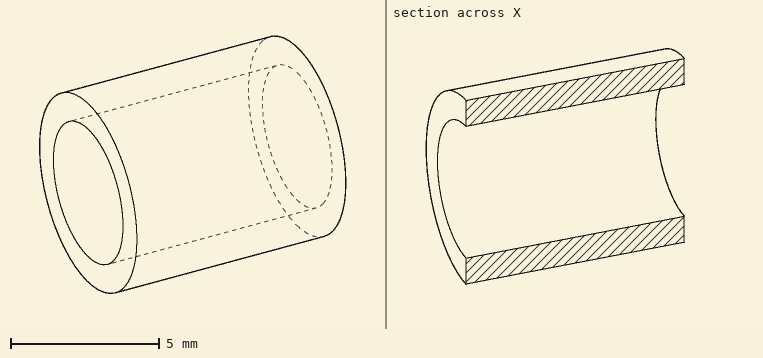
import cadquery as cq

outer_diameter = 7.0
bore_diameter = 5.0
length = 8.0


def make_sleeve():
    """Ring section extruded along Y, centred on the origin."""
    end_plane = cq.Workplane("XZ").workplane(offset=-length / 2)
    ring = end_plane.circle(outer_diameter / 2).circle(bore_diameter / 2)
    return ring.extrude(length)


result = make_sleeve()